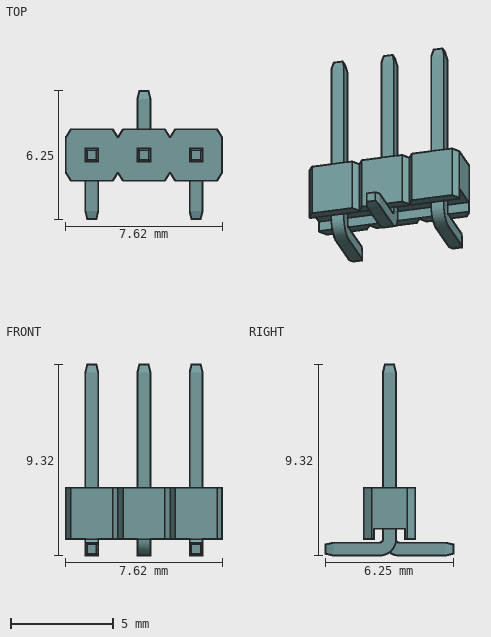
import cadquery as cq
import math

pin_count = 3
pitch = 2.54

body_depth = 2.52
body_height = 2.52
corner_cut_x = 0.25
corner_cut_y = 0.4
slot_width = 1.5
slot_height = 0.5

pin_width = 0.64
pin_rise = 6.0
foot_reach = 3.127
tip_length = 0.39
tip_inset = 0.095
bend_inner_radius = 0.16

bend_outer_radius = bend_inner_radius + pin_width
body_bottom = bend_outer_radius
body_top = body_bottom + body_height
pin_top = body_top + pin_rise
foot_axis_z = pin_width / 2
bend_center_y = pin_width / 2 + bend_inner_radius
tip_taper = math.degrees(math.atan(tip_inset / tip_length))


def make_cell(center_x):
    """One pitch-wide block of the body with its four vertical corners cut."""
    half_x = pitch / 2
    half_y = body_depth / 2
    flat_x = half_x - corner_cut_x
    flat_y = half_y - corner_cut_y
    outline = [
        (half_x, flat_y),
        (flat_x, half_y),
        (-flat_x, half_y),
        (-half_x, flat_y),
        (-half_x, -flat_y),
        (-flat_x, -half_y),
        (flat_x, -half_y),
        (half_x, -flat_y),
    ]
    return (
        cq.Workplane("XY", origin=(center_x, 0, body_bottom))
        .polyline(outline)
        .close()
        .extrude(body_height)
    )


def make_slot():
    """Channel along the whole underside of the body."""
    return (
        cq.Workplane("XY", origin=(0, 0, body_bottom))
        .box(pin_count * pitch, slot_width, slot_height, centered=(True, True, False))
    )


def make_bar(start, direction, length):
    """Square bar from start along direction, ending in a tapered tip."""
    plane = cq.Plane(origin=start, xDir=(1, 0, 0), normal=direction)
    shank_length = length - tip_length
    shank = cq.Workplane(plane).rect(pin_width, pin_width).extrude(shank_length)
    tip = (
        cq.Workplane(plane)
        .workplane(offset=shank_length)
        .rect(pin_width, pin_width)
        .extrude(tip_length, taper=tip_taper)
    )
    return shank.union(tip)


def make_bend(center_x, side):
    """Quarter-ring elbow joining the upright to the foot."""
    diagonal = math.sqrt(0.5)
    inner = bend_inner_radius
    outer = bend_outer_radius

    def arc_middle(radius):
        return (side * (bend_center_y - radius * diagonal), body_bottom - radius * diagonal)

    return (
        cq.Workplane("YZ", origin=(center_x, 0, 0))
        .moveTo(side * (bend_center_y - outer), body_bottom)
        .threePointArc(arc_middle(outer), (side * bend_center_y, body_bottom - outer))
        .lineTo(side * bend_center_y, body_bottom - inner)
        .threePointArc(arc_middle(inner), (side * (bend_center_y - inner), body_bottom))
        .close()
        .extrude(pin_width / 2, both=True)
    )


def make_pin(center_x, side):
    """Upright pin whose foot points along Y; side is +1 or -1."""
    upright = make_bar((center_x, 0, body_bottom), (0, 0, 1), pin_top - body_bottom)
    foot_start = (center_x, side * bend_center_y, foot_axis_z)
    foot = make_bar(foot_start, (0, side, 0), foot_reach - bend_center_y)
    return upright.union(make_bend(center_x, side)).union(foot)


pin_positions = [(i - (pin_count - 1) / 2) * pitch for i in range(pin_count)]

body = make_cell(pin_positions[0])
for x in pin_positions[1:]:
    body = body.union(make_cell(x))
body = body.cut(make_slot())

result = body
for index, x in enumerate(pin_positions):
    foot_side = -1 if index % 2 == 0 else 1
    result = result.union(make_pin(x, foot_side))
result = result.clean()